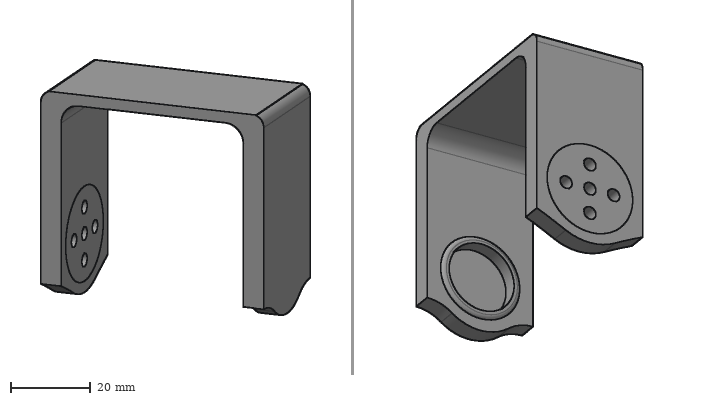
import cadquery as cq
import math

length = 61.0
width = 31.0
height = 56.7
leg_thickness = 5.6
top_thickness = 3.0
inner_fillet = 4.9
half_length = length / 2
half_width = width / 2
left_inner_x = leg_thickness - half_length
right_inner_x = half_length - leg_thickness

corner_radius = 3.05
corner_inset = 2.1
step_height = 0.1

tip_radius = half_width
pivot_z = tip_radius
shoulder_z = 5.8
right_tip_z = 0.55
tip_half_angle = 27.5
flare_drop = 2.45

disc_diameter = 25.0
hole_diameter = 3.5
hole_circle_radius = 6.95
hole_count = 4

ring_base_diameter = 23.1
ring_face_diameter = 20.75
ring_height = 0.75
recess_diameter = 19.0
recess_depth = 4.1


def yz_plane(x):
    """Plane at a given X, with local axes along +Y and +Z and its normal along +X."""
    return cq.Workplane("YZ", origin=(x, 0, 0))


def make_frame():
    """U-shaped frame, with its legs reaching down to the shoulders."""
    corner_z = height - step_height
    side_x = half_length - corner_inset
    arc_center_x = half_length - corner_radius
    end_angle = math.acos((side_x - arc_center_x) / corner_radius)
    arc_center_z = corner_z - corner_radius * math.sin(end_angle)
    mid_x = arc_center_x + corner_radius * math.cos(end_angle / 2)
    mid_z = arc_center_z + corner_radius * math.sin(end_angle / 2)
    outer = (
        cq.Workplane("XZ", origin=(0, half_width, 0))
        .moveTo(-half_length, shoulder_z)
        .lineTo(-half_length, arc_center_z)
        .threePointArc((-mid_x, mid_z), (-side_x, corner_z))
        .lineTo(-side_x, height)
        .lineTo(side_x, height)
        .lineTo(side_x, corner_z)
        .threePointArc((mid_x, mid_z), (half_length, arc_center_z))
        .lineTo(half_length, shoulder_z)
        .close()
        .extrude(width)
    )
    opening_height = height - top_thickness - shoulder_z
    opening = (
        cq.Workplane("XY", origin=(0, 0, shoulder_z))
        .rect(right_inner_x - left_inner_x, width)
        .extrude(opening_height)
        .edges("|Y and >Z")
        .fillet(inner_fillet)
    )
    return outer.cut(opening)


def make_left_end():
    """Tapered end of the left leg: slightly hollow flanks tangent to a round tip."""
    half_angle = math.radians(tip_half_angle)
    join_y = tip_radius * math.sin(half_angle)
    join_z = pivot_z - tip_radius * math.cos(half_angle)
    mid_y = tip_radius * math.sin(half_angle / 2)
    mid_z = pivot_z - tip_radius * math.cos(half_angle / 2)
    half_end = (
        yz_plane(-half_length)
        .moveTo(0, shoulder_z)
        .lineTo(0, pivot_z - tip_radius)
        .threePointArc((mid_y, mid_z), (join_y, join_z))
        .tangentArcPoint((half_width, shoulder_z), relative=False)
        .close()
        .extrude(leg_thickness)
    )
    return half_end.union(half_end.mirror("XZ"))


def make_right_end():
    """End of the right leg: concave flares, level at the shoulders, that run into a round tip."""
    total_drop = shoulder_z - right_tip_z
    sweep = 2 * math.atan2(total_drop, half_width)
    flare_radius = flare_drop / (1 - math.cos(sweep))
    round_radius = (total_drop - flare_drop) / (1 - math.cos(sweep))
    join_y = round_radius * math.sin(sweep)
    join_z = shoulder_z - flare_drop
    flare_mid_y = half_width - flare_radius * math.sin(sweep / 2)
    flare_mid_z = shoulder_z - flare_radius * (1 - math.cos(sweep / 2))
    return (
        yz_plane(right_inner_x)
        .moveTo(-half_width, shoulder_z)
        .threePointArc((-flare_mid_y, flare_mid_z), (-join_y, join_z))
        .threePointArc((0, right_tip_z), (join_y, join_z))
        .threePointArc((flare_mid_y, flare_mid_z), (half_width, shoulder_z))
        .close()
        .extrude(leg_thickness)
    )


def make_ring():
    """Solid raised boss with a rounded rim tangent to its face, before the recess is cut."""
    face_x = right_inner_x - ring_height
    profile = (
        cq.Workplane("XY", origin=(0, 0, pivot_z))
        .moveTo(face_x, 0)
        .lineTo(face_x, ring_face_diameter / 2)
        .tangentArcPoint((right_inner_x, ring_base_diameter / 2), relative=False)
        .lineTo(right_inner_x, 0)
        .close()
    )
    return profile.revolve(360, (0, 0, 0), (1, 0, 0))


def make_disc_blank():
    """Plain disc that fills the bore through the left leg."""
    return yz_plane(-half_length).center(0, pivot_z).circle(disc_diameter / 2).extrude(leg_thickness)


def make_bracket():
    recess = (
        yz_plane(right_inner_x - ring_height)
        .center(0, pivot_z)
        .circle(recess_diameter / 2)
        .extrude(recess_depth)
    )
    body = make_frame().union(make_left_end()).union(make_right_end()).union(make_ring())
    return body.cut(recess).cut(make_disc_blank())


def make_disc():
    """Disc with a centre hole and a circle of holes, all through."""
    holes = (
        yz_plane(-half_length)
        .center(0, pivot_z)
        .polarArray(hole_circle_radius, 0, 360, hole_count)
        .circle(hole_diameter / 2)
        .extrude(leg_thickness)
    )
    centre_hole = yz_plane(-half_length).center(0, pivot_z).circle(hole_diameter / 2).extrude(leg_thickness)
    return make_disc_blank().cut(holes).cut(centre_hole)


bracket = make_bracket()
disc = make_disc()
result = cq.Compound.makeCompound([bracket.val(), disc.val()])